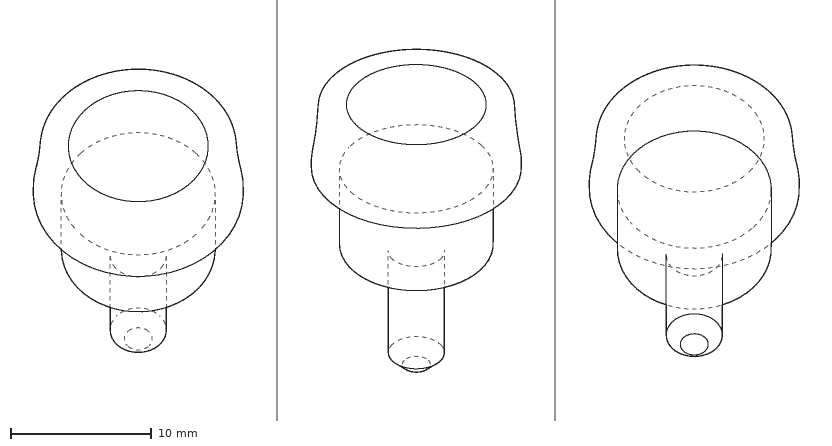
import cadquery as cq

total_height = 24.0
shoulder_z = 10.0
cap_bottom_z = 17.02
band_top_z = 17.8
cap_top_z = 22.6
flank_middle_z = (band_top_z + cap_top_z) / 2

pin_radius = 4.0 / 2
body_radius = 11.0 / 2
cap_radius = 15.0 / 2
cap_top_radius = 7.0
flank_middle_radius = 7.18
dome_radius = 5.0

tip_chamfer = 1.0
body_fillet = 0.5
root_fillet = 0.2
cap_bottom_fillet = 0.15
cap_top_fillet = 0.17

selection_tolerance = 0.002


def edges_within(radius, height):
    """Select edges lying at a height and inside a radius about the Z axis."""
    return cq.selectors.BoxSelector(
        (-radius, -radius, height - selection_tolerance),
        (radius, radius, height + selection_tolerance),
        boundingbox=True,
    )


def fillet_circle(solid, radius, height, fillet_radius):
    """Round the circular edge that has a given radius and height."""
    outer = edges_within(radius + selection_tolerance, height)
    inner = edges_within(radius - selection_tolerance, height)
    return solid.edges(outer - inner).fillet(fillet_radius)


dome_height = total_height - cap_top_z
sphere_radius = (dome_radius**2 + dome_height**2) / (2 * dome_height)
sphere_center_z = total_height - sphere_radius
dome_middle_x = dome_radius / 2
dome_middle_z = sphere_center_z + (sphere_radius**2 - dome_middle_x**2) ** 0.5

profile = (
    cq.Workplane("XZ")
    .lineTo(pin_radius - tip_chamfer, 0)
    .lineTo(pin_radius, tip_chamfer)
    .lineTo(pin_radius, shoulder_z)
    .lineTo(body_radius, shoulder_z)
    .lineTo(body_radius, cap_bottom_z)
    .lineTo(cap_radius, cap_bottom_z)
    .lineTo(cap_radius, band_top_z)
    .threePointArc((flank_middle_radius, flank_middle_z), (cap_top_radius, cap_top_z))
    .lineTo(dome_radius, cap_top_z)
    .threePointArc((dome_middle_x, dome_middle_z), (0, total_height))
    .close()
)
knob = profile.revolve(360, (0, 0, 0), (0, 1, 0))

knob = fillet_circle(knob, body_radius, shoulder_z, body_fillet)
knob = fillet_circle(knob, pin_radius, shoulder_z, root_fillet)
knob = fillet_circle(knob, cap_radius, cap_bottom_z, cap_bottom_fillet)
knob = fillet_circle(knob, cap_top_radius, cap_top_z, cap_top_fillet)

result = knob